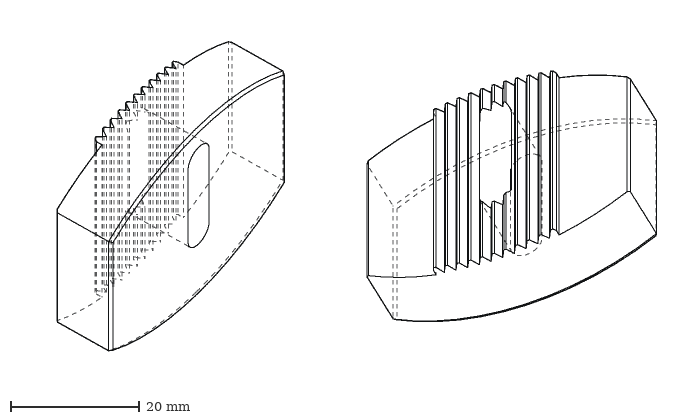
import cadquery as cq
import math

length = 45.0
height = 38.0
side_height = 25.4
thickness = 12.6
ridge_height = 1.65

band_width = 21.0
pitch = 2.0
groove_count = 10
groove_depth = 1.4
flank_angle = math.radians(30)
band_chamfer_width = 0.338

slot_width = 5.4
slot_height = 22.4
slot_center_z = 3.938

back_chamfer_depth = 0.6
back_chamfer_inset = 0.35
front_chamfer = 0.4

back_x = thickness / 2
tip_x = -thickness / 2
front_x = tip_x + ridge_height


def outline_prism(start_x, end_x, taper=0):
    """Straight-sided plate with arched top and bottom, extruded along X with an optional taper in degrees."""
    half_length = length / 2
    half_side = side_height / 2
    return (
        cq.Workplane("YZ", origin=(start_x, 0, 0))
        .moveTo(-half_length, -half_side)
        .threePointArc((0, -height / 2), (half_length, -half_side))
        .lineTo(half_length, half_side)
        .threePointArc((0, height / 2), (-half_length, half_side))
        .close()
        .extrude(end_x - start_x, taper=taper)
    )


def plate():
    """Main plate with its back rim and two front side edges chamfered."""
    rim_x = back_x - back_chamfer_depth
    rim_taper = math.degrees(math.atan2(back_chamfer_inset, back_chamfer_depth))
    body = outline_prism(front_x, rim_x)
    for side in (">Y", "<Y"):
        body = body.faces(side).edges("<X").chamfer(front_chamfer)
    return body.union(outline_prism(rim_x, back_x, rim_taper))


def serrated_band():
    """Row of vertical teeth, trimmed to the arched outline of the plate."""
    groove_half_width = groove_depth * math.tan(flank_angle)
    chamfer_depth = band_chamfer_width / math.tan(flank_angle)
    half_band = band_width / 2
    points = [
        (front_x, -half_band),
        (tip_x + chamfer_depth, -half_band),
        (tip_x, -half_band + band_chamfer_width),
    ]
    for index in range(groove_count):
        groove_y = (index - (groove_count - 1) / 2) * pitch
        points.append((tip_x, groove_y - groove_half_width))
        points.append((tip_x + groove_depth, groove_y))
        points.append((tip_x, groove_y + groove_half_width))
    points += [
        (tip_x, half_band - band_chamfer_width),
        (tip_x + chamfer_depth, half_band),
        (front_x, half_band),
    ]
    teeth = cq.Workplane("XY").polyline(points).close().extrude(height / 2, both=True)
    return teeth.intersect(outline_prism(tip_x, front_x))


def slot_cutter():
    """Vertical round-ended slot running through the whole thickness."""
    return (
        cq.Workplane("YZ", origin=(tip_x, 0, slot_center_z))
        .slot2D(slot_height, slot_width, 90)
        .extrude(thickness)
    )


result = plate().union(serrated_band()).cut(slot_cutter())